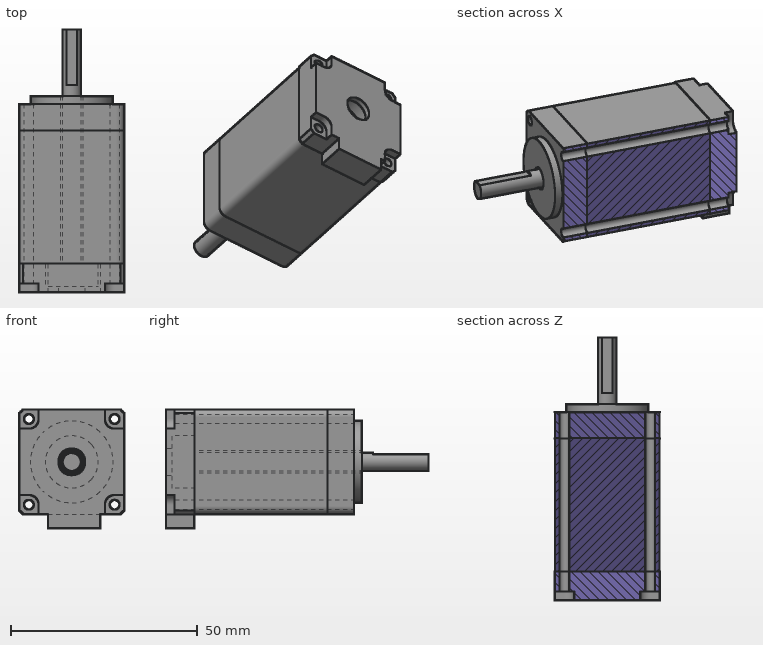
import cadquery as cq
import math

total_length = 70.4
shaft_reach = 17.9
pilot_height = 2.1
flange_length = 7.05
cap_length = 7.7
flange_front_y = total_length - shaft_reach - pilot_height
stator_front_y = flange_front_y - flange_length
stator_length = stator_front_y - cap_length

body_width = 28.15
body_corner_radius = 2.1
cap_corner_chamfer = 1.05

shaft_diameter = 5.0
flat_length = 14.85
flat_depth = 0.4
bore_diameter = 6.0
pilot_diameter = 22.0

screw_spacing = 22.95
screw_hole_diameter = 2.5

cap_wall = 1.6
cap_hole_diameter = 7.2
cap_cavity_diameter = 14.1
pocket_depth = 2.3
pocket_size = 5.2
pocket_radius = (body_width - screw_spacing) / 2

connector_width = 14.0
connector_drop = 3.7
connector_offset = 0.6

corner_signs = [(sx, sz) for sx in (-1, 1) for sz in (-1, 1)]


def rod(diameter, start_y, length, x=0, z=0):
    """Round bar parallel to Y, running from start_y towards +Y."""
    circle = cq.Workplane("XZ", origin=(x, start_y, z)).circle(diameter / 2)
    return circle.extrude(-length)


def bar(x_size, z_size, start_y, length, x=0, z=0):
    """Rectangular bar parallel to Y, centred on (x, z)."""
    rectangle = cq.Workplane("XZ", origin=(x, start_y, z)).rect(x_size, z_size)
    return rectangle.extrude(-length)


def cut_screw_holes(body, start_y, length):
    for sx, sz in corner_signs:
        hole_x = sx * screw_spacing / 2
        hole_z = sz * screw_spacing / 2
        body = body.cut(rod(screw_hole_diameter, start_y, length, hole_x, hole_z))
    return body


def make_shaft():
    shaft = rod(shaft_diameter, cap_length, total_length - cap_length)
    flat_z = shaft_diameter / 2 - flat_depth / 2
    flat = bar(shaft_diameter, flat_depth, total_length - flat_length, flat_length, z=flat_z)
    return shaft.cut(flat)


def make_flange():
    flange = bar(body_width, body_width, stator_front_y, flange_length)
    flange = flange.edges("|Y").fillet(body_corner_radius)
    flange = flange.union(rod(pilot_diameter, flange_front_y, pilot_height))
    flange = flange.cut(rod(bore_diameter, stator_front_y, flange_length + pilot_height))
    return cut_screw_holes(flange, stator_front_y, flange_length)


def make_stator():
    stator = bar(body_width, body_width, cap_length, stator_length)
    stator = stator.edges("|Y").fillet(body_corner_radius)
    stator = stator.cut(rod(bore_diameter, cap_length, stator_length))
    return cut_screw_holes(stator, cap_length, stator_length)


def make_corner_pocket(sx, sz):
    """Recess around one screw, open at the two outer sides, its inner corner rounded."""
    inner = body_width / 2 - pocket_size
    outer = body_width / 2
    start_of_arc = inner + pocket_radius
    arc_middle = start_of_arc - pocket_radius * math.sqrt(0.5)
    outline = (
        cq.Workplane("XZ")
        .moveTo(sx * outer, sz * outer)
        .lineTo(sx * inner, sz * outer)
        .lineTo(sx * inner, sz * start_of_arc)
        .threePointArc((sx * arc_middle, sz * arc_middle), (sx * start_of_arc, sz * inner))
        .lineTo(sx * outer, sz * inner)
        .close()
    )
    return outline.extrude(-pocket_depth)


def make_cap():
    cap = bar(body_width, body_width, 0, cap_length).edges("|Y").chamfer(cap_corner_chamfer)
    connector_z = -(body_width + connector_drop) / 2
    cap = cap.union(bar(connector_width, connector_drop, 0, cap_length, connector_offset, connector_z))
    for sx, sz in corner_signs:
        cap = cap.cut(make_corner_pocket(sx, sz))
    cap = cap.cut(rod(cap_hole_diameter, 0, cap_wall))
    cap = cap.cut(rod(cap_cavity_diameter, cap_wall, cap_length - cap_wall))
    return cut_screw_holes(cap, 0, cap_length)


shaft = make_shaft()
flange = make_flange()
stator = make_stator()
cap = make_cap()

result = cq.Compound.makeCompound([shaft.val(), flange.val(), stator.val(), cap.val()])